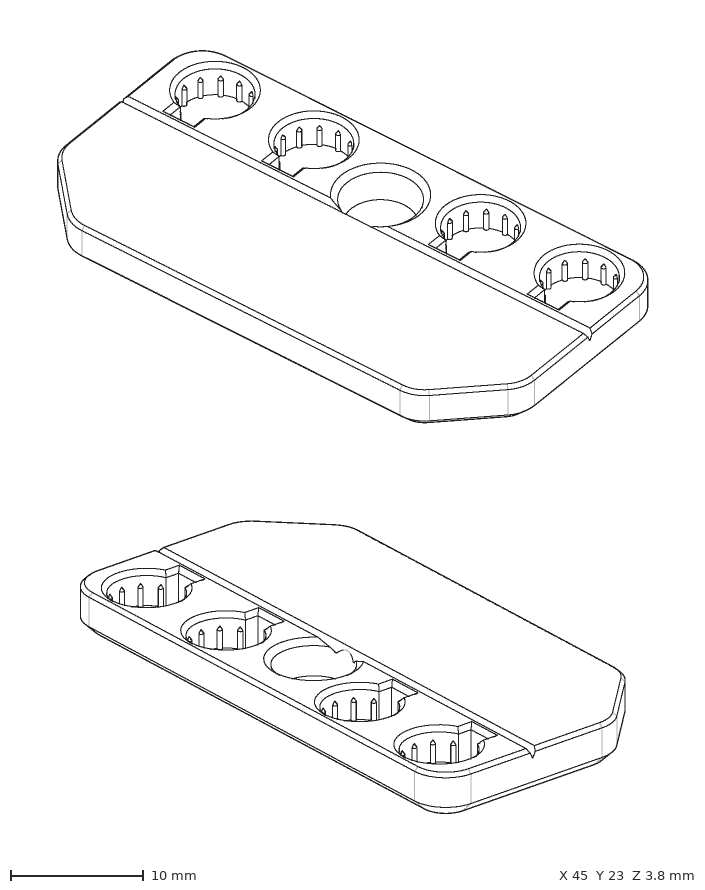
import cadquery as cq
import math

length = 45.0
width = 23.0
thickness = 3.8
corner_radius = 3.0
front_corner_cut = 6.0
top_chamfer = 0.3
bottom_chamfer = 1.0

groove_y = 2.48
groove_half_width = 0.4
groove_depth = 0.8

socket_inner_x = 8.0
socket_pitch = 9.5
socket_y = 7.5
socket_radius = 3.0
socket_depth = 2.92
neck_width = 2.25
neck_end_y = 3.5
rim_width = 0.4
rim_depth = 0.4

rib_count = 12
rib_radius = 0.202
rib_circle_radius = 2.95
rib_tip_height = 0.3
rib_top_below_rim = 0.65

centre_hole_y = 5.5
centre_hole_rim_radius = 3.8
centre_hole_rim_depth = 0.45
centre_hole_neck_radius = 3.25
centre_hole_floor_radius = 2.85
centre_hole_depth = 2.8

top_z = thickness
half_length = length / 2
half_width = width / 2


def make_plate():
    """Plate with cut-off front corners, rounded all round and chamfered top and bottom."""
    outline = [
        (-half_length, half_width),
        (half_length, half_width),
        (half_length, -half_width + front_corner_cut),
        (half_length - front_corner_cut, -half_width),
        (-half_length + front_corner_cut, -half_width),
        (-half_length, -half_width + front_corner_cut),
    ]
    plate = cq.Workplane("XY").polyline(outline).close().extrude(thickness)
    plate = plate.edges("|Z").fillet(corner_radius)
    plate = plate.faces(">Z").chamfer(top_chamfer)
    return plate.faces("<Z").chamfer(bottom_chamfer)


def make_groove():
    """Triangular cutter running the full length of the plate."""
    return (
        cq.Workplane("YZ", origin=(-half_length, 0, 0))
        .moveTo(groove_y - groove_half_width, top_z)
        .lineTo(groove_y, top_z - groove_depth)
        .lineTo(groove_y + groove_half_width, top_z)
        .close()
        .extrude(length)
    )


def revolve_about_z(profile, x, y):
    """Solid of revolution from (radius, z) points about a vertical axis through (x, y)."""
    return (
        cq.Workplane("XZ")
        .polyline(profile)
        .close()
        .revolve(360, (0, 0, 0), (0, 1, 0))
        .translate((x, y, 0))
    )


def make_rib(x, y):
    """Upright round rib with a conical tip, standing on the socket floor."""
    floor_z = top_z - socket_depth
    tip_z = top_z - rim_depth - rib_top_below_rim
    profile = [(0, floor_z), (rib_radius, floor_z), (rib_radius, tip_z - rib_tip_height), (0, tip_z)]
    return revolve_about_z(profile, x, y)


def make_socket(x):
    """Keyhole cutter: round pocket, straight neck and sloped rim."""
    floor_z = top_z - socket_depth
    rim_z = top_z - rim_depth
    rim_radius = socket_radius + rim_width
    pocket_profile = [
        (0, floor_z),
        (socket_radius, floor_z),
        (socket_radius, rim_z),
        (rim_radius, top_z),
        (0, top_z),
    ]
    pocket = revolve_about_z(pocket_profile, x, socket_y)

    neck_length = socket_y - neck_end_y
    neck_y = (socket_y + neck_end_y) / 2
    neck = (
        cq.Workplane("XY", origin=(x, neck_y, floor_z))
        .rect(neck_width, neck_length)
        .extrude(socket_depth)
    )
    neck_rim = (
        cq.Workplane("XY", origin=(x, neck_y, rim_z))
        .rect(neck_width, neck_length)
        .workplane(offset=rim_depth)
        .rect(neck_width + 2 * rim_width, neck_length + 2 * rim_width)
        .loft()
    )
    return pocket.union(neck).union(neck_rim)


def make_ribs(x):
    """Ring of ribs on one socket wall, leaving out the rib that would block the neck."""
    ribs = cq.Workplane("XY")
    for index in range(1, rib_count):
        angle = 2 * math.pi * index / rib_count - math.pi / 2
        rib_x = x + rib_circle_radius * math.cos(angle)
        rib_y = socket_y + rib_circle_radius * math.sin(angle)
        ribs = ribs.add(make_rib(rib_x, rib_y))
    return ribs.combine()


def make_centre_hole():
    """Blind tapered hole, with a sloped rim only behind the middle of the groove."""
    floor_z = top_z - centre_hole_depth
    rim_z = top_z - centre_hole_rim_depth
    wall_slope = (centre_hole_neck_radius - centre_hole_floor_radius) / (rim_z - floor_z)
    top_radius = centre_hole_floor_radius + wall_slope * centre_hole_depth
    hole_profile = [(0, floor_z), (centre_hole_floor_radius, floor_z), (top_radius, top_z), (0, top_z)]
    rim_profile = [(0, rim_z), (centre_hole_neck_radius, rim_z), (centre_hole_rim_radius, top_z), (0, top_z)]
    hole = revolve_about_z(hole_profile, 0, centre_hole_y)
    rim = revolve_about_z(rim_profile, 0, centre_hole_y)
    behind_groove = cq.Workplane("XY", origin=(0, groove_y, 0)).box(
        length, width, thickness, centered=(True, False, False)
    )
    return hole.union(rim.intersect(behind_groove))


result = make_plate().cut(make_groove())
for side in (-1, 1):
    for socket_index in range(2):
        socket_x = side * (socket_inner_x + socket_index * socket_pitch)
        result = result.cut(make_socket(socket_x))
        result = result.union(make_ribs(socket_x))
result = result.cut(make_centre_hole())